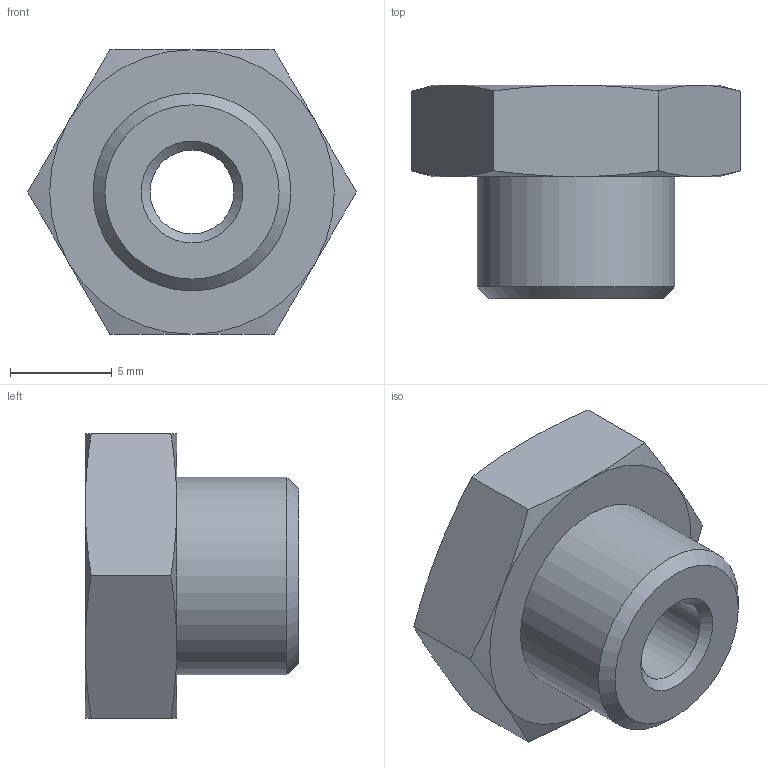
import cadquery as cq
import math

head_sides = 6
across_flats = 14.0
across_corners = across_flats / math.cos(math.pi / head_sides)
head_thickness = 4.5
corner_chamfer_angle = 15.0

shank_diameter = 9.73
shank_length = 6.0
shank_chamfer = 0.58

bore_diameter = 4.13
countersink_diameter = 5.0
countersink_depth = (countersink_diameter - bore_diameter) / 2


def revolve_about_y(profile):
    """Revolve a list of (radius, y) points around the Y axis."""
    return cq.Workplane("XY").polyline(profile).close().revolve(360, (0, 0), (0, 1))


def make_head():
    """Hexagon with corners on the X axis, both ends turned to a shallow cone."""
    prism = cq.Workplane("XZ").polygon(head_sides, across_corners).extrude(-head_thickness)
    face_radius = across_flats / 2
    corner_radius = across_corners / 2
    corner_drop = (corner_radius - face_radius) * math.tan(math.radians(corner_chamfer_angle))
    turned_envelope = revolve_about_y([
        (0, 0),
        (face_radius, 0),
        (corner_radius, corner_drop),
        (corner_radius, head_thickness - corner_drop),
        (face_radius, head_thickness),
        (0, head_thickness),
    ])
    return prism.intersect(turned_envelope)


def make_shank():
    """Cylinder with a chamfered free end."""
    shank = cq.Workplane("XZ").circle(shank_diameter / 2).extrude(shank_length)
    return shank.faces("<Y").chamfer(shank_chamfer)


def make_bore():
    """Cutter for the through bore and its countersink."""
    bore_radius = bore_diameter / 2
    return revolve_about_y([
        (0, -shank_length),
        (countersink_diameter / 2, -shank_length),
        (bore_radius, countersink_depth - shank_length),
        (bore_radius, head_thickness),
        (0, head_thickness),
    ])


result = make_head().union(make_shank()).cut(make_bore())